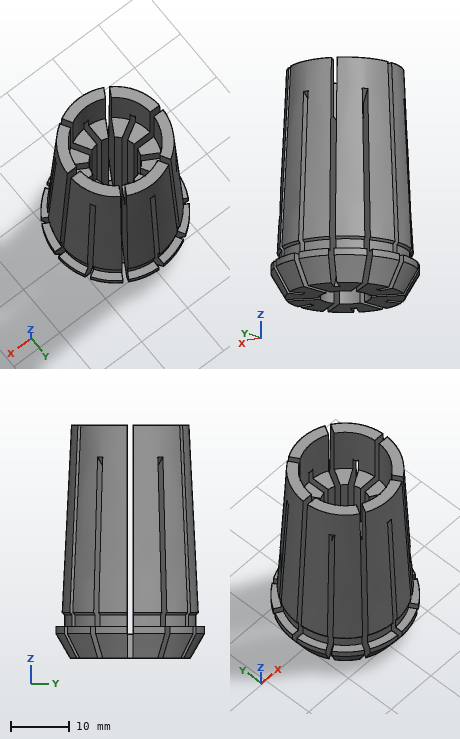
import cadquery as cq
import math


height = 40.0
top_radius = 10.1
taper_base_radius = 11.7
taper_base_z = 7.9
groove_chamfer = 0.4
flange_diameter = 25.5
flange_top_z = 5.5
nose_height = 4.3
nose_angle = 30.0

bore_radius = 4.5
counterbore_radius = 8.05
counterbore_floor_z = 30.0

slots_per_ring = 6
slot_width = 1.0
cutter_radius = 20.0
cut_margin = 2.0

upper_slot_foot_radius = 7.6
upper_slot_inner_z = 4.15

lower_slot_inner_z = 32.4
lower_slot_top_z = 34.55
lower_slot_top_radius = 10.4

flange_radius = flange_diameter / 2
nose_tip_radius = flange_radius - nose_height * math.tan(math.radians(nose_angle))
groove_radius = taper_base_radius - groove_chamfer
groove_top_z = taper_base_z - groove_chamfer
slot_pitch = 360.0 / slots_per_ring
slot_reach = flange_radius + cut_margin
slot_ceiling_z = height + cut_margin
slot_floor_z = -cut_margin


def make_body():
    """Revolve the nose, flange, groove, taper and stepped bore around Z."""
    return (
        cq.Workplane("XZ")
        .moveTo(bore_radius, 0)
        .lineTo(nose_tip_radius, 0)
        .lineTo(flange_radius, nose_height)
        .lineTo(flange_radius, flange_top_z)
        .lineTo(groove_radius, flange_top_z)
        .lineTo(groove_radius, groove_top_z)
        .lineTo(taper_base_radius, taper_base_z)
        .lineTo(top_radius, height)
        .lineTo(counterbore_radius, height)
        .lineTo(counterbore_radius, counterbore_floor_z)
        .lineTo(bore_radius, counterbore_floor_z)
        .close()
        .revolve(360, (0, 0, 0), (0, 1, 0))
    )


def make_upper_slot():
    """Cutter along +X for a slot that is open at the top and outside."""
    return (
        cq.Workplane("XZ")
        .moveTo(upper_slot_foot_radius, 0)
        .radiusArc((bore_radius, upper_slot_inner_z), cutter_radius)
        .lineTo(0, upper_slot_inner_z)
        .lineTo(0, slot_ceiling_z)
        .lineTo(slot_reach, slot_ceiling_z)
        .lineTo(slot_reach, slot_floor_z)
        .lineTo(upper_slot_foot_radius, slot_floor_z)
        .close()
        .extrude(slot_width / 2, both=True)
    )


def make_lower_slot():
    """Cutter along +X for a slot that is open at the bottom and into the bore."""
    return (
        cq.Workplane("XZ")
        .moveTo(0, slot_floor_z)
        .lineTo(0, lower_slot_inner_z)
        .lineTo(counterbore_radius, lower_slot_inner_z)
        .radiusArc((lower_slot_top_radius, lower_slot_top_z), cutter_radius)
        .lineTo(slot_reach, lower_slot_top_z)
        .lineTo(slot_reach, slot_floor_z)
        .close()
        .extrude(slot_width / 2, both=True)
    )


def cut_slot_ring(body, slot, start_angle):
    """Cut one ring of equally spaced slots, the first at start_angle from +X."""
    for index in range(slots_per_ring):
        angle = start_angle + index * slot_pitch
        body = body.cut(slot.rotate((0, 0, 0), (0, 0, 1), angle))
    return body


result = make_body()
result = cut_slot_ring(result, make_upper_slot(), 0)
result = cut_slot_ring(result, make_lower_slot(), slot_pitch / 2)